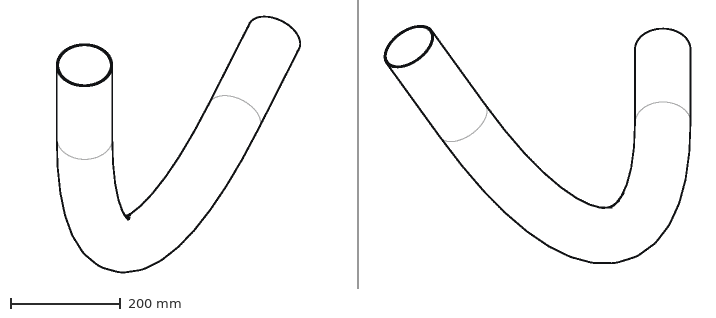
import cadquery as cq

outer_diameter = 101.6
inner_diameter = 95.5
overall_size = 1016.0
straight_length = 203.2
bend_angle = 90

leg_reach = overall_size - outer_diameter / 2
bend_radius = leg_reach - straight_length


def tube(cross_section_plane):
    """Return the ring-shaped tube section on the given plane."""
    return cq.Workplane(cross_section_plane).circle(outer_diameter / 2).circle(inner_diameter / 2)


bend_start_plane = cq.Plane(origin=(0, 0, bend_radius), xDir=(1, 0, 0), normal=(0, 0, 1))
bend_end_plane = cq.Plane(origin=(0, bend_radius, 0), xDir=(1, 0, 0), normal=(0, 1, 0))

vertical_leg = tube(bend_start_plane).extrude(straight_length)
horizontal_leg = tube(bend_end_plane).extrude(straight_length)

bend_section_plane = cq.Plane(origin=(0, 0, bend_radius), xDir=(1, 0, 0), normal=(0, 0, -1))
bend = tube(bend_section_plane).revolve(bend_angle, (0, -bend_radius, 0), (1, -bend_radius, 0))

result = vertical_leg.union(bend).union(horizontal_leg)